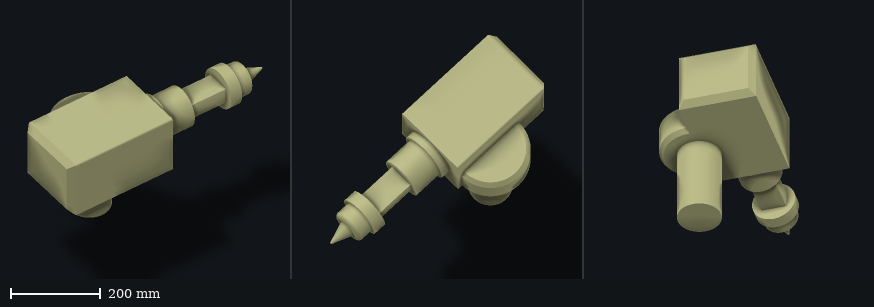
import cadquery as cq

block_width = 180.0
block_length = 280.0
block_height = 150.0
front_chamfer = 15.0
top_fillet = 5.0

hub_diameter = block_width
hub_height = 80.0
hub_chamfer = 10.0
post_diameter = 100.5
post_length = 180.0
pivot_setback = 100.5

overall_length = 590.0
spindle_offset = 2.0
flange_diameter = 120.0
flange_length = 19.5
collar_diameter = post_diameter
rear_collar_length = 71.0
tip_collar_length = 30.0
bar_length = 100.0
bar_flat_width = 58.5
bar_height = 40.0
bar_bulge = 3.5
head_diameter = 80.0
head_length = 39.5
head_fillet = 10.0
cone_diameter = 41.0
cone_tip_diameter = 4.0

block_left = -block_width / 2
spindle_x = -spindle_offset
spindle_z = block_height / 2


def make_block():
    """Chamfered front end, with the two long top edges rounded."""
    body = cq.Workplane("XY").box(
        block_width, block_length, block_height, centered=(True, False, False)
    )
    body = body.translate((0, -block_length, 0))
    rounded_body = body.faces(">Z").edges("|Y").fillet(top_fillet)
    chamfered_body = body.faces("<Y").chamfer(front_chamfer)
    return chamfered_body.intersect(rounded_body)


def make_pivot():
    hub = cq.Workplane("XY").circle(hub_diameter / 2).extrude(hub_height)
    hub = hub.edges().chamfer(hub_chamfer)
    post = cq.Workplane("XY").circle(post_diameter / 2).extrude(-post_length)
    return hub.union(post).translate((block_left, -pivot_setback, 0))


def spindle_plane(y):
    """Section plane facing +Y, centred on the spindle axis."""
    return cq.Workplane(
        cq.Plane(origin=(spindle_x, y, spindle_z), xDir=(1, 0, 0), normal=(0, 1, 0))
    )


def make_disc(y, diameter, length):
    return spindle_plane(y).circle(diameter / 2).extrude(length)


def make_bar(y):
    """Bar with flat top and bottom and bowed sides."""
    half_flat = bar_flat_width / 2
    half_height = bar_height / 2
    half_width = half_flat + bar_bulge
    return (
        spindle_plane(y)
        .moveTo(-half_flat, half_height)
        .lineTo(half_flat, half_height)
        .threePointArc((half_width, 0), (half_flat, -half_height))
        .lineTo(-half_flat, -half_height)
        .threePointArc((-half_width, 0), (-half_flat, half_height))
        .close()
        .extrude(bar_length)
    )


def make_cone(y):
    length = overall_length - block_length - y
    return (
        spindle_plane(y)
        .circle(cone_diameter / 2)
        .workplane(offset=length)
        .circle(cone_tip_diameter / 2)
        .loft(ruled=True)
    )


def make_spindle():
    collar_y = flange_length
    bar_y = collar_y + rear_collar_length
    tip_collar_y = bar_y + bar_length
    head_y = tip_collar_y + tip_collar_length
    cone_y = head_y + head_length
    head = make_disc(head_y, head_diameter, head_length).faces(">Y").edges().fillet(head_fillet)
    return (
        make_disc(0, flange_diameter, flange_length)
        .union(make_disc(collar_y, collar_diameter, rear_collar_length))
        .union(make_bar(bar_y))
        .union(make_disc(tip_collar_y, collar_diameter, tip_collar_length))
        .union(head)
        .union(make_cone(cone_y))
    )


result = make_block().union(make_pivot()).union(make_spindle())